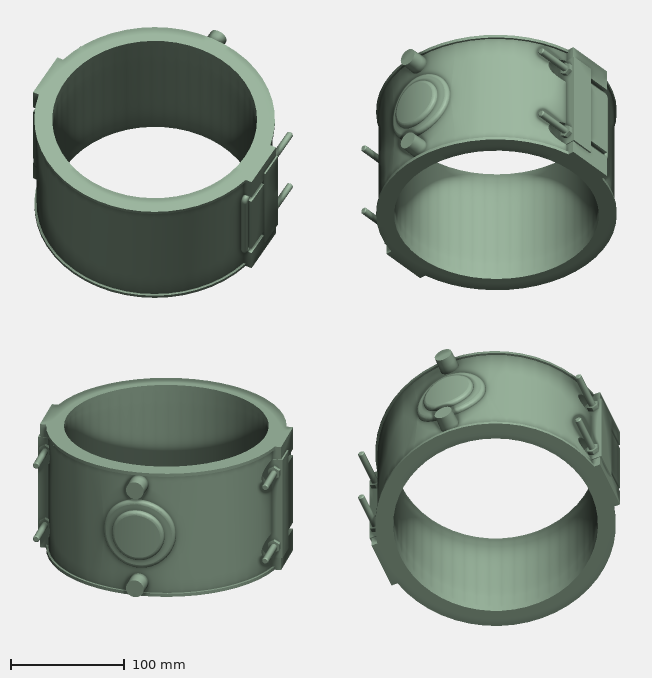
import cadquery as cq
import math

HEIGHT = 118.0
BORE_RADIUS = 90.0
RIM_RADIUS = 105.75
RIM_STEP = 2.0
RIM_THICKNESS = 3.0
BODY_RADIUS = RIM_RADIUS - RIM_STEP

LUG_HALF_SPAN = 109.0
FRONT_LUG_LENGTH = 23.0
REAR_LUG_LENGTH = 22.3

PLATE_HALF_SPAN = 110.5
PLATE_LENGTH = 23.0
PLATE_HEIGHT = 94.0

BOLT_DIAMETER = 6.0
BOLT_RADIUS = BOLT_DIAMETER / 2
BOLT_X = 103.5
BEND_RADIUS = BOLT_RADIUS + 0.05
BOLT_HALF_PITCH = 35.2
BOLT_TIP_Y = 59.5
BOLT_TIP_CHAMFER = 0.8
NUT_SIDES = 6
NUT_ACROSS_FLATS = 10.0
NUT_THICKNESS = 4.0
NUT_CORNER_DIAMETER = NUT_ACROSS_FLATS / math.cos(math.pi / NUT_SIDES)

CLEARANCE_BASE_RADIUS = 12.0
CLEARANCE_MIDDLE_RADIUS = 10.5
CLEARANCE_TIP_RADIUS = 7.4
CLEARANCE_LENGTH = 18.0

PEG_TIP_Y = 118.82
PEG_TIP_RADIUS = 8.0
PEG_ROOT_RADIUS = 8.7
PEG_ROOT_Y = 100.0
PEG_HALF_PITCH = 47.0

PAD_DIAMETERS = (64.9, 47.2)
PAD_THICKNESS = 4.0
PAD_EDGE_RADIUS = 3.5

SIDES = (-1, 1)


def cylinder_z(radius, height):
    """Cylinder about Z, centred on the origin."""
    return cq.Workplane("XY").circle(radius).extrude(height / 2, both=True)


def block(x_start, x_end, y_start, y_end, height):
    """Box between two X and two Y limits, centred on Z = 0."""
    box = cq.Workplane("XY").box(abs(x_end - x_start), abs(y_end - y_start), height)
    return box.translate(((x_start + x_end) / 2, (y_start + y_end) / 2, 0))


def section_y(x, y, z):
    """Sketch plane facing +Y at a given point."""
    return cq.Workplane(cq.Plane(origin=(x, y, z), xDir=(0, 0, 1), normal=(0, 1, 0)))


def cone_y(x, y, z, start_radius, end_radius, length):
    """Truncated cone growing along +Y from a given point."""
    return cq.Workplane(cq.Solid.makeCone(
        start_radius, end_radius, length, cq.Vector(x, y, z), cq.Vector(0, 1, 0)))


def make_ring():
    """Solid drum with a thin rim at the top and bottom; the bore is cut later."""
    ring = cylinder_z(BODY_RADIUS, HEIGHT)
    rim = cylinder_z(RIM_RADIUS, RIM_THICKNESS)
    for side in SIDES:
        ring = ring.union(rim.translate((0, 0, side * (HEIGHT - RIM_THICKNESS) / 2)))
    return ring


def make_lugs(side):
    """Front and rear lugs of one side, with the plate over the rear one."""
    root_x = side * BORE_RADIUS
    lugs = block(root_x, side * LUG_HALF_SPAN, -FRONT_LUG_LENGTH, REAR_LUG_LENGTH, HEIGHT)
    return lugs.union(block(root_x, side * PLATE_HALF_SPAN, 0, PLATE_LENGTH, PLATE_HEIGHT))


def make_bolt_slot(side, z):
    """Open slot from the bolt axis outwards; the bolt itself fills its rounded inner end."""
    slot = block(side * BOLT_X, side * PLATE_HALF_SPAN, -FRONT_LUG_LENGTH, 0, BOLT_DIAMETER)
    return slot.translate((0, 0, z))


def make_nut_clearance(side, z):
    """Solid of revolution about the bolt axis, narrowing away from the lug."""
    tip_y = PLATE_LENGTH + CLEARANCE_LENGTH
    middle_y = PLATE_LENGTH + CLEARANCE_LENGTH / 2
    half_profile = (
        cq.Workplane("XY")
        .moveTo(0, PLATE_LENGTH)
        .lineTo(CLEARANCE_BASE_RADIUS, PLATE_LENGTH)
        .threePointArc((CLEARANCE_MIDDLE_RADIUS, middle_y), (CLEARANCE_TIP_RADIUS, tip_y))
        .lineTo(0, tip_y)
        .close()
    )
    return half_profile.revolve(360, (0, 0), (0, 1)).translate((side * BOLT_X, 0, z))


def make_u_bolt(side):
    """Rod bent into a U that opens towards +Y, with chamfered tips and one nut on each leg."""
    x = side * BOLT_X
    crossbar_y = -FRONT_LUG_LENGTH - BEND_RADIUS
    bend_z = BOLT_HALF_PITCH - BEND_RADIUS
    bend_middle_y = -FRONT_LUG_LENGTH - BEND_RADIUS * math.sin(math.pi / 4)
    bend_middle_z = bend_z + BEND_RADIUS * math.cos(math.pi / 4)
    path = (
        cq.Workplane("YZ", origin=(x, 0, 0))
        .moveTo(BOLT_TIP_Y, BOLT_HALF_PITCH)
        .lineTo(-FRONT_LUG_LENGTH, BOLT_HALF_PITCH)
        .threePointArc((bend_middle_y, bend_middle_z), (crossbar_y, bend_z))
        .lineTo(crossbar_y, -bend_z)
        .threePointArc((bend_middle_y, -bend_middle_z), (-FRONT_LUG_LENGTH, -BOLT_HALF_PITCH))
        .lineTo(BOLT_TIP_Y, -BOLT_HALF_PITCH)
    )
    bolt = section_y(x, BOLT_TIP_Y, BOLT_HALF_PITCH).circle(BOLT_RADIUS).sweep(path)
    bolt = bolt.faces(">Y").chamfer(BOLT_TIP_CHAMFER)
    for end in SIDES:
        nut = section_y(x, PLATE_LENGTH, end * BOLT_HALF_PITCH).polygon(NUT_SIDES, NUT_CORNER_DIAMETER)
        bolt = bolt.union(nut.extrude(NUT_THICKNESS))
    return bolt


def make_peg(z):
    """Peg rooted inside the ring wall and narrowing towards its tip."""
    return cone_y(0, PEG_ROOT_Y, z, PEG_ROOT_RADIUS, PEG_TIP_RADIUS, PEG_TIP_Y - PEG_ROOT_Y)


def make_pad(diameter, outer_radius):
    """Disc rising along +Y to a curved top, with a rounded edge."""
    disc = section_y(0, BORE_RADIUS, 0).circle(diameter / 2).extrude(outer_radius)
    pad = disc.intersect(cylinder_z(outer_radius, HEIGHT))
    return pad.faces(">Y").edges().fillet(PAD_EDGE_RADIUS)


result = make_ring()
for side in SIDES:
    result = result.union(make_lugs(side))
    for end in SIDES:
        bolt_z = end * BOLT_HALF_PITCH
        result = result.cut(make_bolt_slot(side, bolt_z))
        result = result.cut(make_nut_clearance(side, bolt_z))
for end in SIDES:
    result = result.union(make_peg(end * PEG_HALF_PITCH))
for layer, pad_diameter in enumerate(PAD_DIAMETERS, start=1):
    result = result.union(make_pad(pad_diameter, BODY_RADIUS + layer * PAD_THICKNESS))
result = result.cut(cylinder_z(BORE_RADIUS, HEIGHT))
for side in SIDES:
    result = result.union(make_u_bolt(side))